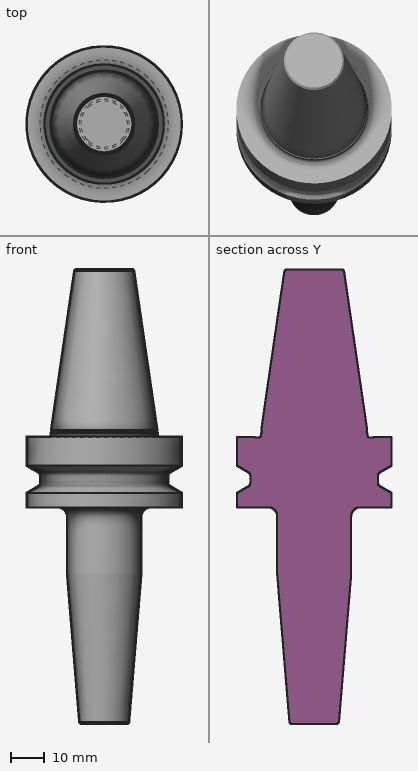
import cadquery as cq
import math

total_height = 134.4

taper_ratio = 7 / 24
gauge_radius = 15.9
gauge_height = 86.0
taper_tip_chamfer = 0.5

relief_top = 86.8
relief_upper = 86.4
relief_lower = 86.0
relief_radius = 15.6
foot_radius = 15.9
foot_fillet = 0.5

flange_radius = 23.0
flange_top = 85.0
flange_bottom = 64.0
groove_top = 76.3
groove_bottom = 68.3
groove_floor_radius = 19.0
groove_wall_angle = 30.0
groove_fillet = 1.0
groove_wall_rise = (flange_radius - groove_floor_radius) * math.tan(math.radians(groove_wall_angle))
groove_floor_top = groove_top - groove_wall_rise
groove_floor_bottom = groove_bottom + groove_wall_rise

recess_radius = 17.6
recess_depth = 0.3
recess_floor = flange_top - recess_depth

neck_radius = 11.0
neck_fillet = 2.5
neck_bottom = 44.4
nose_tip_radius = 7.4
nose_tip_chamfer = 0.5


def taper_radius(height):
    """Radius of the clamping taper at a given height."""
    return gauge_radius - (height - gauge_height) * taper_ratio / 2


def fillet_midpoint(wall_radius, face_height, fillet, side):
    """Middle of a concave fillet from a cylinder to a flat face above (side 1) or below (side -1)."""
    bulge = fillet * (1 - math.sqrt(0.5))
    return (wall_radius + bulge, face_height - side * bulge)


def revolved_body():
    """Half profile in the XZ plane, turned about the Z axis."""
    shoulder = total_height - taper_tip_chamfer
    profile = (
        cq.Workplane("XZ")
        .lineTo(nose_tip_radius - nose_tip_chamfer, 0)
        .lineTo(nose_tip_radius, nose_tip_chamfer)
        .lineTo(neck_radius, neck_bottom)
        .lineTo(neck_radius, flange_bottom - neck_fillet)
        .threePointArc(
            fillet_midpoint(neck_radius, flange_bottom, neck_fillet, 1),
            (neck_radius + neck_fillet, flange_bottom),
        )
        .lineTo(flange_radius, flange_bottom)
        .lineTo(flange_radius, flange_top)
        .lineTo(recess_radius, flange_top)
        .lineTo(recess_radius, recess_floor)
        .lineTo(foot_radius + foot_fillet, recess_floor)
        .threePointArc(
            fillet_midpoint(foot_radius, recess_floor, foot_fillet, -1),
            (foot_radius, recess_floor + foot_fillet),
        )
        .lineTo(foot_radius, relief_lower)
        .lineTo(relief_radius, relief_lower)
        .lineTo(relief_radius, relief_upper)
        .lineTo(taper_radius(relief_top), relief_top)
        .lineTo(taper_radius(shoulder), shoulder)
        .lineTo(taper_radius(shoulder) - taper_tip_chamfer, total_height)
        .lineTo(0, total_height)
        .close()
    )
    return profile.revolve(360, (0, 0, 0), (0, 1, 0))


def gripper_groove():
    """Ring-shaped cutter for the V groove, its floor corners rounded."""
    cutter = (
        cq.Workplane("XZ")
        .moveTo(flange_radius, groove_bottom)
        .lineTo(groove_floor_radius, groove_floor_bottom)
        .lineTo(groove_floor_radius, groove_floor_top)
        .lineTo(flange_radius, groove_top)
        .close()
        .revolve(360, (0, 0, 0), (0, 1, 0))
    )
    floor_edges = cq.selectors.RadiusNthSelector(0)
    return cutter.edges(floor_edges).fillet(groove_fillet)


result = revolved_body().cut(gripper_groove())